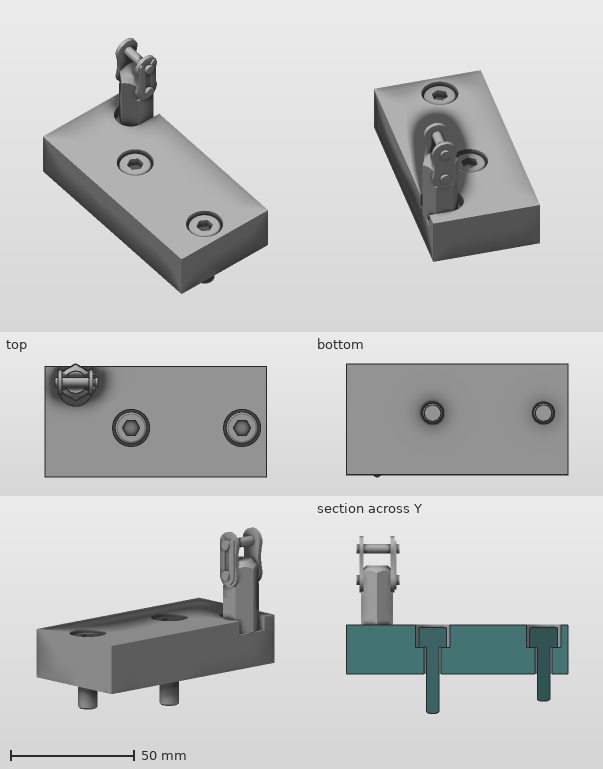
import cadquery as cq
import math


BLOCK_LENGTH = 90.0
BLOCK_WIDTH = BLOCK_LENGTH / 2
BLOCK_HEIGHT = 20.0

HEX_HALF_ANGLE = 30.0

BOLT_PITCH = BLOCK_LENGTH / 2
BOLT_END_MARGIN = 10.0
BOLT_Y = 20.0
BOLT_DIAMETER = 8.0
BOLT_TIP_DIAMETER = 6.7
HEAD_DIAMETER = 13.0
HEAD_HEIGHT = BOLT_DIAMETER
HEAD_FILLET = 0.8
SOCKET_FLATS = 6.0
SOCKET_CORNERS = SOCKET_FLATS / math.cos(math.radians(HEX_HALF_ANGLE))
SOCKET_DEPTH = 3.6
HEAD_SINK = 1.0
BOLT_HOLE_DIAMETER = 9.0
COUNTERBORE_DIAMETER = 15.0
LONG_BOLT_PROJECTION = 16.0
SHORT_BOLT_PROJECTION = 11.0

SHORT_BOLT_X = BLOCK_LENGTH - BOLT_END_MARGIN
LONG_BOLT_X = SHORT_BOLT_X - BOLT_PITCH
BOLTS = ((LONG_BOLT_X, LONG_BOLT_PROJECTION), (SHORT_BOLT_X, SHORT_BOLT_PROJECTION))
HEAD_SEAT_Z = BLOCK_HEIGHT - HEAD_SINK - HEAD_HEIGHT

STUD_FLATS = 13.0
STUD_CORNERS = STUD_FLATS / math.cos(math.radians(HEX_HALF_ANGLE))
STUD_OVERHANG = 1.0
STUD_RISE = 23.85
STUD_TOP_DIAMETER = 9.0
STUD_BASE_CHAMFER_ANGLE = 30.0
STUD_X = 12.5
STUD_Y = BLOCK_WIDTH + STUD_OVERHANG - STUD_CORNERS / 2
STUD_TOP_Z = BLOCK_HEIGHT + STUD_RISE
SLOT_WIDTH = 13.6
SLOT_DEPTH = 5.8
SLOT_CENTER_Y = 35.6
SLOT_FLOOR_Z = BLOCK_HEIGHT - SLOT_DEPTH

PIN_DIAMETER = 4.0
PIN_PITCH = 12.7
PIN_END = 1.2
LOWER_PIN_RISE = 18.1
PLATE_END_RADIUS = 5.0
PLATE_WAIST_RADIUS = 20.0
PLATE_THICKNESS = 1.6
PLATE_GAP = 11.0
FLAT_DROP = 4.6

LOWER_PIN_Z = BLOCK_HEIGHT + LOWER_PIN_RISE
UPPER_PIN_Z = LOWER_PIN_Z + PIN_PITCH
LINK_MIDDLE_Z = LOWER_PIN_Z + PIN_PITCH / 2
FLAT_FOOT_Z = LOWER_PIN_Z - FLAT_DROP
LEFT_PLATE_X = STUD_X - PLATE_GAP / 2 - PLATE_THICKNESS
RIGHT_PLATE_X = STUD_X + PLATE_GAP / 2

CLIP_THICKNESS = 0.8
CLIP_RADIUS = 4.0
CLIP_TIP_RISE = 3.1
CLIP_TIP_FILLET = 1.0
GROOVE_DIAMETER = 2.9

CLIP_X = RIGHT_PLATE_X + PLATE_THICKNESS
PIN_START_X = LEFT_PLATE_X - PIN_END
PIN_LENGTH = CLIP_X + CLIP_THICKNESS + PIN_END - PIN_START_X


def cylinder_z(x, y, bottom, top, diameter):
    return cq.Workplane("XY", origin=(x, y, bottom)).circle(diameter / 2).extrude(top - bottom)


def cylinder_x(z, start, length, diameter):
    """Cylinder along X on the line of a chain pin."""
    return cq.Workplane("YZ", origin=(start, STUD_Y, z)).circle(diameter / 2).extrude(length)


def make_block():
    block = cq.Workplane("XY").box(BLOCK_LENGTH, BLOCK_WIDTH, BLOCK_HEIGHT, centered=False)
    for x, _ in BOLTS:
        block = block.cut(cylinder_z(x, BOLT_Y, 0, BLOCK_HEIGHT, BOLT_HOLE_DIAMETER))
        block = block.cut(cylinder_z(x, BOLT_Y, HEAD_SEAT_Z, BLOCK_HEIGHT, COUNTERBORE_DIAMETER))
    slot_end = cylinder_z(STUD_X, SLOT_CENTER_Y, SLOT_FLOOR_Z, BLOCK_HEIGHT, SLOT_WIDTH)
    slot_mouth = cq.Workplane("XY").box(
        SLOT_WIDTH, BLOCK_WIDTH - SLOT_CENTER_Y, SLOT_DEPTH, centered=(True, False, False)
    ).translate((STUD_X, SLOT_CENTER_Y, SLOT_FLOOR_Z))
    return block.cut(slot_end).cut(slot_mouth)


def make_bolt(x, projection):
    tip_chamfer = (BOLT_DIAMETER - BOLT_TIP_DIAMETER) / 2
    shank = cylinder_z(x, BOLT_Y, -projection, HEAD_SEAT_Z, BOLT_DIAMETER)
    shank = shank.faces("<Z").chamfer(tip_chamfer)
    head_top = HEAD_SEAT_Z + HEAD_HEIGHT
    head = cylinder_z(x, BOLT_Y, HEAD_SEAT_Z, head_top, HEAD_DIAMETER)
    head = head.faces(">Z").edges().fillet(HEAD_FILLET)
    socket = (
        cq.Workplane("XY", origin=(x, BOLT_Y, head_top))
        .polygon(6, SOCKET_CORNERS)
        .extrude(-SOCKET_DEPTH)
    )
    return shank.union(head).cut(socket)


def make_plate(start_x):
    """Waisted plate whose concave sides run tangent into the two round ends."""
    end_to_middle = PIN_PITCH / 2
    centers = PLATE_END_RADIUS + PLATE_WAIST_RADIUS
    waist_center = math.sqrt(centers**2 - end_to_middle**2)
    waist = waist_center - PLATE_WAIST_RADIUS
    tangent_y = waist_center * PLATE_END_RADIUS / centers
    tangent_z = end_to_middle * (1 - PLATE_END_RADIUS / centers)
    tip_z = end_to_middle + PLATE_END_RADIUS
    return (
        cq.Workplane("YZ", origin=(start_x, STUD_Y, LINK_MIDDLE_Z))
        .moveTo(tangent_y, -tangent_z)
        .threePointArc((waist, 0), (tangent_y, tangent_z))
        .threePointArc((0, tip_z), (-tangent_y, tangent_z))
        .threePointArc((-waist, 0), (-tangent_y, -tangent_z))
        .threePointArc((0, -tip_z), (tangent_y, -tangent_z))
        .close()
        .extrude(PLATE_THICKNESS)
    )


def make_stud():
    """Hexagonal stud with coned ends, flats and pockets for the plates, and a cross hole."""
    height = STUD_TOP_Z - SLOT_FLOOR_Z
    stud = (
        cq.Workplane("XY", origin=(STUD_X, STUD_Y, SLOT_FLOOR_Z))
        .polygon(6, STUD_CORNERS)
        .extrude(height)
        .rotate((STUD_X, STUD_Y, 0), (STUD_X, STUD_Y, 1), HEX_HALF_ANGLE)
    )
    corner_radius = STUD_CORNERS / 2
    base_radius = STUD_FLATS / 2
    base_chamfer = (corner_radius - base_radius) * math.tan(math.radians(STUD_BASE_CHAMFER_ANGLE))
    top_radius = STUD_TOP_DIAMETER / 2
    top_chamfer = corner_radius - top_radius
    coned_round = (
        cq.Workplane("XZ", origin=(STUD_X, STUD_Y, SLOT_FLOOR_Z))
        .polyline([
            (0, 0),
            (base_radius, 0),
            (corner_radius, base_chamfer),
            (corner_radius, height - top_chamfer),
            (top_radius, height),
            (0, height),
        ])
        .close()
        .revolve(360, (0, 0), (0, 1))
    )
    stud = stud.intersect(coned_round)

    for side, plate_x in ((-1, LEFT_PLATE_X), (1, RIGHT_PLATE_X)):
        plate_middle_x = STUD_X + side * (PLATE_GAP + PLATE_THICKNESS) / 2
        flat_height = STUD_TOP_Z - FLAT_FOOT_Z
        flat = cq.Workplane("XY").box(
            PLATE_THICKNESS, STUD_CORNERS, flat_height, centered=(True, True, False)
        )
        stud = stud.cut(flat.translate((plate_middle_x, STUD_Y, FLAT_FOOT_Z)))
        stud = stud.cut(make_plate(plate_x))
    return stud.cut(cylinder_x(LOWER_PIN_Z, PIN_START_X, PIN_LENGTH, PIN_DIAMETER))


def make_pinned_plate():
    """Left plate with both pins fixed in it; each pin is necked where the clip grips it."""
    link = make_plate(LEFT_PLATE_X)
    for z in (LOWER_PIN_Z, UPPER_PIN_Z):
        pin = cylinder_x(z, PIN_START_X, PIN_LENGTH, PIN_DIAMETER)
        neck = cylinder_x(z, CLIP_X, CLIP_THICKNESS, GROOVE_DIAMETER)
        groove = cylinder_x(z, CLIP_X, CLIP_THICKNESS, PIN_DIAMETER).cut(neck)
        link = link.union(pin.cut(groove))
    return link


def make_loose_plate():
    plate = make_plate(RIGHT_PLATE_X)
    for z in (LOWER_PIN_Z, UPPER_PIN_Z):
        plate = plate.cut(cylinder_x(z, RIGHT_PLATE_X, PLATE_THICKNESS, PIN_DIAMETER))
    return plate


def make_clip():
    """U-shaped clip, closed below the lower pin, with 45 degree lead-ins at the leg tips."""
    tip_z = PIN_PITCH + CLIP_TIP_RISE
    corner = CLIP_TIP_FILLET * (1 - math.sqrt(0.5))
    tip_y = CLIP_RADIUS - CLIP_TIP_FILLET
    inner = GROOVE_DIAMETER / 2
    lead_in_z = tip_z - (tip_y - inner)
    return (
        cq.Workplane("YZ", origin=(CLIP_X, STUD_Y, LOWER_PIN_Z))
        .moveTo(-CLIP_RADIUS, 0)
        .threePointArc((0, -CLIP_RADIUS), (CLIP_RADIUS, 0))
        .lineTo(CLIP_RADIUS, tip_z - CLIP_TIP_FILLET)
        .threePointArc((CLIP_RADIUS - corner, tip_z - corner), (tip_y, tip_z))
        .lineTo(inner, lead_in_z)
        .lineTo(inner, 0)
        .threePointArc((0, -inner), (-inner, 0))
        .lineTo(-inner, lead_in_z)
        .lineTo(-tip_y, tip_z)
        .threePointArc((corner - CLIP_RADIUS, tip_z - corner), (-CLIP_RADIUS, tip_z - CLIP_TIP_FILLET))
        .close()
        .extrude(CLIP_THICKNESS)
    )


block = make_block()
bolts = [make_bolt(x, projection) for x, projection in BOLTS]
stud = make_stud()
pinned_plate = make_pinned_plate()
loose_plate = make_loose_plate()
clip = make_clip()

result = cq.Compound.makeCompound([
    block.val(),
    *[bolt.val() for bolt in bolts],
    stud.val(),
    pinned_plate.val(),
    loose_plate.val(),
    clip.val(),
])